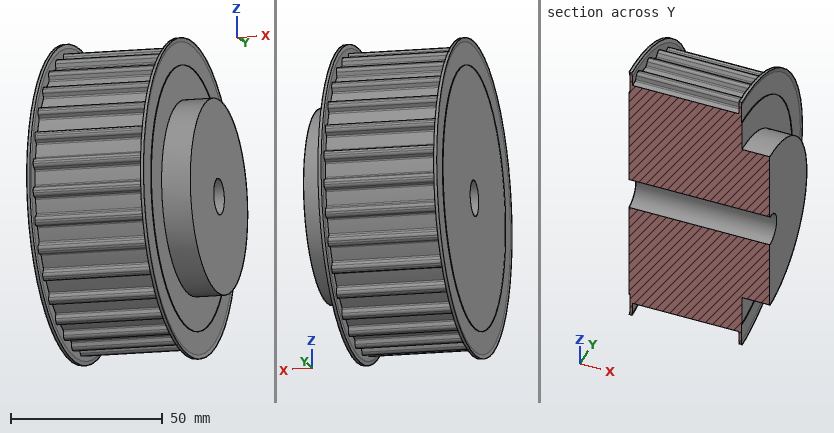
import cadquery as cq
import math


tooth_count = 32
tip_radius = 100.0 / 2
tooth_depth = 2.3
root_radius = tip_radius - tooth_depth
gap_floor_half_width = 2.6
flank_angle = math.radians(25)
tip_round = 1.2
root_round = 0.5
edge_tolerance = 0.01

flange_radius = 106 / 2
sheet_thickness = 1.1
lip_width = 1.4
lip_offset = 0.23
bend_radius = flange_radius - lip_width
disc_radius = 88 / 2

rim_length = 40.2
total_length = 50.0
inner_face_x = lip_offset + sheet_thickness

hub_radius = 65.0 / 2
bore_radius = 12.0 / 2


def polar(radius, angle):
    return radius * math.cos(angle), radius * math.sin(angle)


def gap_edge_angles():
    """Angles from a gap centre to its floor corner and to its tip corner."""
    floor_angle = math.asin(gap_floor_half_width / root_radius)
    flank_offset = root_radius * math.sin(floor_angle - flank_angle)
    tip_angle = flank_angle + math.asin(flank_offset / tip_radius)
    return floor_angle, tip_angle


def distance_from_axis(edge):
    center = edge.Center()
    return math.hypot(center.y, center.z)


def make_toothed_rim():
    """Ring of rounded teeth, with a gap centred on the +Y direction."""
    pitch = 2 * math.pi / tooth_count
    floor_angle, tip_angle = gap_edge_angles()
    outline = cq.Workplane("YZ", origin=(inner_face_x, 0, 0)).moveTo(*polar(root_radius, -floor_angle))
    for index in range(tooth_count):
        gap = index * pitch
        next_gap = gap + pitch
        outline = (
            outline.threePointArc(polar(root_radius, gap), polar(root_radius, gap + floor_angle))
            .lineTo(*polar(tip_radius, gap + tip_angle))
            .threePointArc(polar(tip_radius, gap + pitch / 2), polar(tip_radius, next_gap - tip_angle))
        )
        if index < tooth_count - 1:
            outline = outline.lineTo(*polar(root_radius, next_gap - floor_angle))
    rim = outline.close().extrude(rim_length - 2 * inner_face_x)

    middle_radius = (tip_radius + root_radius) / 2
    rim = rim.edges("|X").filter(lambda edge: distance_from_axis(edge) < middle_radius).fillet(root_round)
    tip_limit = tip_radius - edge_tolerance
    return rim.edges("|X").filter(lambda edge: distance_from_axis(edge) > tip_limit).fillet(tip_round)


def make_flange():
    """Flange on the -X end: a lip bent outwards around a disc as high as the lip."""
    profile = [
        (0, 0),
        (0, disc_radius),
        (lip_offset, disc_radius),
        (lip_offset, bend_radius),
        (0, flange_radius),
        (sheet_thickness, flange_radius),
        (inner_face_x, bend_radius),
        (inner_face_x, 0),
    ]
    return cq.Workplane("XY").polyline(profile).close().revolve(360, (0, 0, 0), (1, 0, 0))


def make_cylinder(radius, start_x, end_x):
    return cq.Workplane("YZ").workplane(offset=start_x).circle(radius).extrude(end_x - start_x)


near_flange = make_flange()
far_flange = near_flange.mirror("YZ").translate((rim_length, 0, 0))
hub = make_cylinder(hub_radius, rim_length, total_length)
bore = make_cylinder(bore_radius, 0, total_length)

result = make_toothed_rim().union(near_flange).union(far_flange).union(hub).cut(bore)